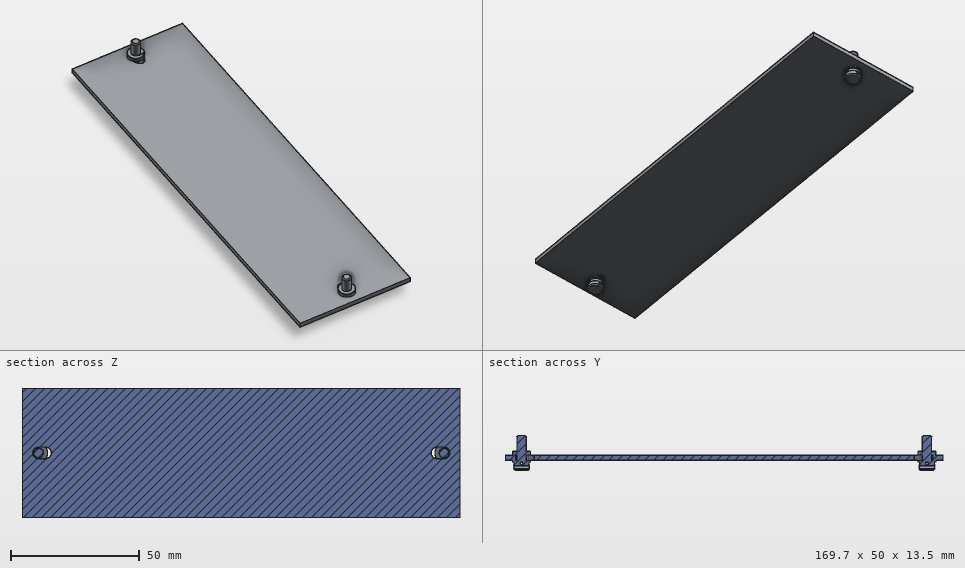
import cadquery as cq

PANEL_LENGTH = 169.7
PANEL_WIDTH = 50.0
PANEL_THICKNESS = 2.0

SCREW_OFFSET = 78.5
SHAFT_DIAMETER = 3.7
SHAFT_HEIGHT = 7.6
SHAFT_CHAMFER = 0.5

SLOT_WIDTH = 4.4
SLOT_REACH = 5.0

RING_DIAMETER = 7.0
RING_HEIGHT = 1.5
RING_CHAMFER = 0.2
SPLIT_OFFSET = 1.7
SPLIT_WIDTH = 0.2
SPLIT_DEPTH = 0.5

WASHER_DIAMETER = 7.1
WASHER_THICKNESS = 0.7
NECK_DIAMETER = 6.0
NECK_HEIGHT = 1.2
HEAD_DIAMETER = 6.1
TOTAL_HEIGHT = 13.5
HEAD_CHAMFER = 0.5
NECK_HOLE_DIAMETER = 1.0
HEAD_HOLE_DIAMETER = 1.2

WASHER_BOTTOM = -WASHER_THICKNESS
NECK_BOTTOM = WASHER_BOTTOM - NECK_HEIGHT
HEAD_BOTTOM = PANEL_THICKNESS + SHAFT_HEIGHT - TOTAL_HEIGHT
HEAD_HEIGHT = NECK_BOTTOM - HEAD_BOTTOM


def disc(diameter, bottom, height):
    """Cylinder on the Z axis."""
    return cq.Workplane("XY").workplane(offset=bottom).circle(diameter / 2).extrude(height)


def panel_slot():
    """Cutter for the slot of the screw on the -X side, with the screw axis at the origin."""
    end_centre = SLOT_REACH - SLOT_WIDTH / 2
    return (
        cq.Workplane("XY")
        .center(end_centre / 2, 0)
        .slot2D(end_centre + SLOT_WIDTH, SLOT_WIDTH)
        .extrude(PANEL_THICKNESS)
    )


def retaining_ring():
    """Chamfered ring with a shallow split on its +Y half."""
    ring = disc(RING_DIAMETER, PANEL_THICKNESS, RING_HEIGHT).faces(">Z").edges().chamfer(RING_CHAMFER)
    split_length = RING_DIAMETER / 2
    split_level = PANEL_THICKNESS + RING_HEIGHT - SPLIT_DEPTH / 2
    split = cq.Workplane("XY").box(SPLIT_WIDTH, split_length, SPLIT_DEPTH)
    split = split.translate((SPLIT_OFFSET, split_length / 2, split_level))
    return ring.cut(split)


def neck():
    """Neck with a small cross hole along Y."""
    hole = cq.Workplane("XZ").center(0, NECK_BOTTOM + NECK_HEIGHT / 2)
    hole = hole.circle(NECK_HOLE_DIAMETER / 2).extrude(NECK_DIAMETER / 2, both=True)
    return disc(NECK_DIAMETER, NECK_BOTTOM, NECK_HEIGHT).cut(hole)


def head():
    """Chamfered head with a small cross hole along X, midway up its straight side."""
    hole_level = (NECK_BOTTOM + HEAD_BOTTOM + HEAD_CHAMFER) / 2
    hole = cq.Workplane("YZ").center(0, hole_level)
    hole = hole.circle(HEAD_HOLE_DIAMETER / 2).extrude(HEAD_DIAMETER / 2, both=True)
    body = disc(HEAD_DIAMETER, HEAD_BOTTOM, HEAD_HEIGHT).faces("<Z").edges().chamfer(HEAD_CHAMFER)
    return body.cut(hole)


def screw():
    """Screw for the -X side, with its axis at the origin."""
    shaft = disc(SHAFT_DIAMETER, 0, PANEL_THICKNESS + SHAFT_HEIGHT)
    shaft = shaft.faces(">Z").edges().chamfer(SHAFT_CHAMFER)
    washer = disc(WASHER_DIAMETER, WASHER_BOTTOM, WASHER_THICKNESS)
    return retaining_ring().union(shaft).union(washer).union(neck()).union(head())


def on_both_sides(shape):
    """Place a shape at the -X screw position and mirror it to the +X side."""
    placed = shape.translate((-SCREW_OFFSET, 0, 0))
    return placed, placed.mirror("YZ")


result = cq.Workplane("XY").box(
    PANEL_LENGTH, PANEL_WIDTH, PANEL_THICKNESS, centered=(True, True, False)
)
for slot_cutter in on_both_sides(panel_slot()):
    result = result.cut(slot_cutter)
for placed_screw in on_both_sides(screw()):
    result = result.union(placed_screw)